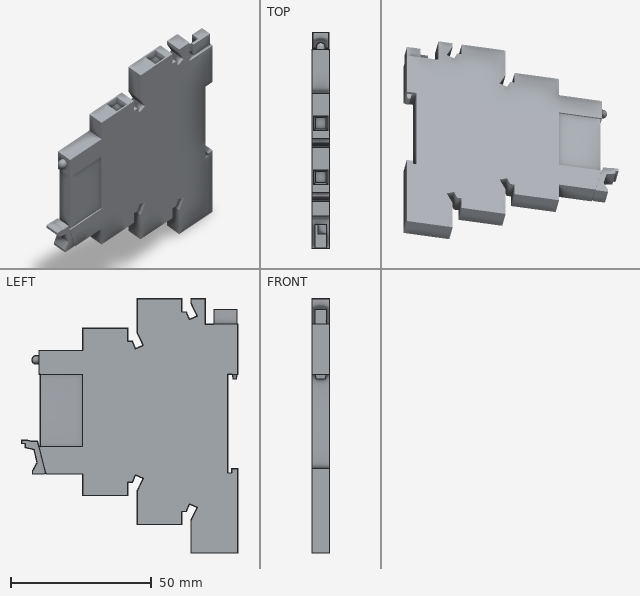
import cadquery as cq


housing_width = 6.2
housing_height = 90.3

step_pitch = 19.15
first_step_y = 16.6
second_step_y = first_step_y + step_pitch
body_end_y = 55.1
upper_step_drop = 10.4
outer_bottom_z = 10.1
inner_bottom_z = 20.4
inner_top_z = housing_height - upper_step_drop

shoulder_y = 11.5
shoulder_z = 81.3
rail_depth = 3.5
rail_top_z = 63.5
rail_groove_z = 28.5
rail_lip_y = 2.2
rail_lip_z = 30.0

upper_arm_end_y = 70.6
upper_arm_top_z = 72.0
lower_arm_bottom_z = 28.1

relay_width = 5.3
relay_end_y = 70.2
relay_bottom_z = 37.8
relay_top_z = rail_top_z

lever_width = 5.7
lever_top_z = 39.8
lever_inner_top_y = 71.1
lever_inner_bottom_y = 68.1
lever_chamfer_y = 0.6
lever_chamfer_z = 0.5
lever_tip_y = 76.7
lever_tip_top_z = 40.1
lever_tip_bottom_z = 38.9
lever_ramp_start_y = 73.5
lever_ramp_end_y = 74.6
lever_grip_y = 75.5
lever_grip_bottom_z = 37.5
lever_neck_top = (72.3, 36.8)
lever_waist = (71.25, 32.15)
lever_foot_y = 72.9
lever_foot_top_z = 29.2
lever_lean = (lever_inner_top_y - lever_inner_bottom_y) / (lever_top_z - lower_arm_bottom_z)

slot_width = 3.25
slot_ledge_depth = 4.7
slot_ledge_width = 1.6
slot_bend_depth = 1.6
slot_near_corner = (0.5, 7.3)
slot_far_corner = (-2.2, 6.1)

pocket_mouth = 5.15
pocket_floor_size = (3.9, 4.1)
pocket_depth = 2.4
first_pocket_y = 25.4

lamp_radius = 1.5
lamp_neck = 0.9
lamp_z = 68.6

tab_width = 4.1
tab_start_y = 0.3
tab_end_y = 8.5
tab_top_z = 86.5
tab_plate_thickness = 1.1
tab_notch_start_y = 5.15
tab_ledge_height = 1.1

hook_top_size = (4.1, 1.8)
hook_bottom_size = (3.1, 1.1)
hook_height = 1.7
hook_y = 1.1


def side_plate(points, width):
    """Extrude a closed (Y, Z) outline to a plate centred on X = 0."""
    return cq.Workplane("YZ").polyline(points).close().extrude(width / 2, both=True)


def box_between(x_range, y_range, z_range):
    """Box given by its limits along each axis."""
    lengths = [high - low for low, high in (x_range, y_range, z_range)]
    corner = (x_range[0], y_range[0], z_range[0])
    return cq.Workplane("XY").box(*lengths, centered=False).translate(corner)


def frustum_down(top_size, bottom_size, depth, y, z):
    """Rectangular frustum that tapers downward from height z."""
    return (
        cq.Workplane("XY", origin=(0, y, z))
        .rect(*top_size)
        .workplane(offset=-depth)
        .rect(*bottom_size)
        .loft(ruled=True)
    )


def lever_inner_y(z):
    """Y of the sloping lever face at height z."""
    return lever_inner_bottom_y + lever_lean * (z - lower_arm_bottom_z)


def make_housing_plate():
    """Stepped plate, with the bay between the two arms left open."""
    outline = [
        (0, 0),
        (first_step_y, 0),
        (first_step_y, outer_bottom_z),
        (second_step_y, outer_bottom_z),
        (second_step_y, inner_bottom_z),
        (body_end_y, inner_bottom_z),
        (body_end_y, lower_arm_bottom_z),
        (lever_inner_bottom_y, lower_arm_bottom_z),
        (lever_inner_y(relay_bottom_z), relay_bottom_z),
        (body_end_y, relay_bottom_z),
        (body_end_y, relay_top_z),
        (upper_arm_end_y, relay_top_z),
        (upper_arm_end_y, upper_arm_top_z),
        (body_end_y, upper_arm_top_z),
        (body_end_y, inner_top_z),
        (second_step_y, inner_top_z),
        (second_step_y, housing_height),
        (shoulder_y, housing_height),
        (shoulder_y, shoulder_z),
        (0, shoulder_z),
        (0, rail_top_z),
        (rail_depth, rail_top_z),
        (rail_depth, rail_groove_z),
        (rail_lip_y, rail_groove_z),
        (rail_lip_y, rail_lip_z),
        (0, rail_lip_z),
    ]
    return side_plate(outline, housing_width)


def make_slot(step_y, edge_z, inward):
    """Slot cutter entering at edge_z; inward is +1 for upward, -1 for downward."""
    outline = [
        (slot_width, 0),
        (slot_width, slot_ledge_depth),
        (slot_ledge_width, slot_ledge_depth),
        slot_near_corner,
        slot_far_corner,
        (0, slot_bend_depth),
        (0, 0),
    ]
    points = [(step_y + y, edge_z + inward * depth) for y, depth in outline]
    return side_plate(points, housing_width)


def make_lever():
    """Ejector lever with a hooked finger grip."""
    outline = [
        (lever_inner_bottom_y + lever_chamfer_y, lower_arm_bottom_z),
        (lever_inner_y(lower_arm_bottom_z + lever_chamfer_z), lower_arm_bottom_z + lever_chamfer_z),
        (lever_inner_top_y, lever_top_z),
        (lever_ramp_start_y, lever_top_z),
        (lever_ramp_end_y, lever_tip_top_z),
        (lever_tip_y, lever_tip_top_z),
        (lever_tip_y, lever_tip_bottom_z),
        (lever_grip_y, lever_tip_bottom_z),
        (lever_grip_y, lever_grip_bottom_z),
        lever_neck_top,
        lever_waist,
        (lever_foot_y, lever_foot_top_z),
        (lever_foot_y, lower_arm_bottom_z),
    ]
    return side_plate(outline, lever_width)


def make_lamp():
    """Short cylindrical neck ending in a dome, pointing along +Y."""
    neck_end_y = upper_arm_end_y + lamp_neck
    neck = (
        cq.Workplane("XZ", origin=(0, upper_arm_end_y, lamp_z))
        .circle(lamp_radius)
        .extrude(-lamp_neck)
    )
    dome = cq.Workplane("XY").sphere(lamp_radius).translate((0, neck_end_y, lamp_z))
    return neck.union(dome)


def make_tab():
    """Marker tab: a block with a thin side plate and a low ledge behind it."""
    half_width = tab_width / 2
    tab = box_between((-half_width, half_width), (tab_start_y, tab_end_y), (shoulder_z, tab_top_z))
    notch = box_between(
        (tab_plate_thickness - half_width, half_width),
        (tab_notch_start_y, tab_end_y),
        (shoulder_z + tab_ledge_height, tab_top_z),
    )
    return tab.cut(notch)


def make_housing():
    """Housing with its slots, pockets, lever, lamp, tab and rail hook."""
    housing = make_housing_plate()
    steps = [
        (first_step_y, first_pocket_y, outer_bottom_z, housing_height),
        (second_step_y, first_pocket_y + step_pitch, inner_bottom_z, inner_top_z),
    ]
    mouth = (pocket_mouth, pocket_mouth)
    for step_y, pocket_y, bottom_z, top_z in steps:
        housing = housing.cut(make_slot(step_y, bottom_z, 1))
        housing = housing.cut(make_slot(step_y, top_z, -1))
        housing = housing.cut(frustum_down(mouth, pocket_floor_size, pocket_depth, pocket_y, top_z))
    hook = frustum_down(hook_top_size, hook_bottom_size, hook_height, hook_y, rail_top_z)
    for detail in (make_lever(), make_lamp(), make_tab(), hook):
        housing = housing.union(detail)
    return housing


def make_relay():
    """Plug-in relay filling the bay between the arms."""
    half_width = relay_width / 2
    return box_between(
        (-half_width, half_width),
        (body_end_y, relay_end_y),
        (relay_bottom_z, relay_top_z),
    )


housing = make_housing()
relay = make_relay()

result = cq.Compound.makeCompound([housing.solids().val(), relay.val()])